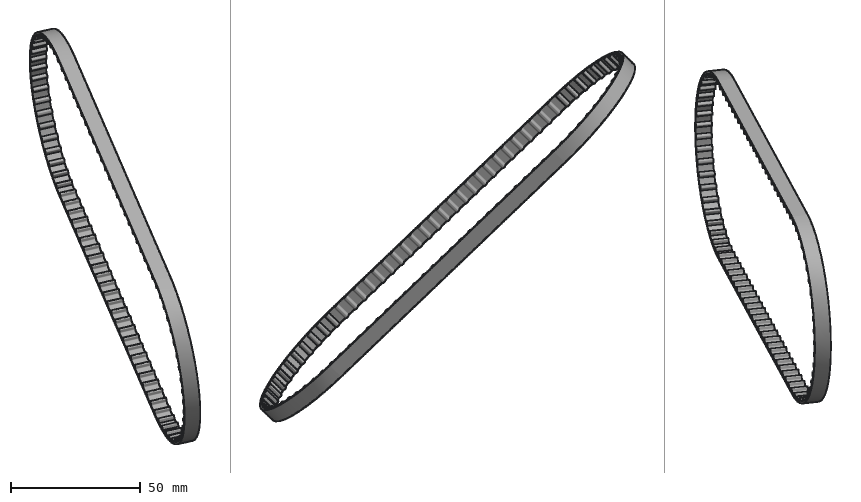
import cadquery as cq
import math

loop_length = 197.8
loop_height = 76.2
belt_width = 6.3
back_thickness = 1.0

tooth_count = 95
tooth_height = 1.2
tooth_root_width = 2.0
tooth_tip_width = 1.0
tooth_fillet = 0.4

foot_margin = 0.5
foot_depth = 0.5

straight_length = loop_length - loop_height
half_straight = straight_length / 2
root_radius = loop_height / 2 - back_thickness
bend_length = math.pi * root_radius
root_line_length = 2 * (straight_length + bend_length)
tooth_pitch = root_line_length / tooth_count


def root_line_frame(distance):
    """Point (x, z) on the root line and the turn of the belt there, in degrees.

    Distance runs counterclockwise from the middle of the bottom run.
    """
    position = (distance + half_straight) % root_line_length
    half_loop = straight_length + bend_length
    on_second_half = position >= half_loop
    along = position - half_loop if on_second_half else position
    if along <= straight_length:
        x, z, turn = along - half_straight, -root_radius, 0.0
    else:
        angle = (along - straight_length) / root_radius
        x = half_straight + root_radius * math.sin(angle)
        z = -root_radius * math.cos(angle)
        turn = math.degrees(angle)
    if on_second_half:
        return -x, -z, turn + 180
    return x, z, turn


def make_back():
    """Smooth band that carries the teeth."""
    inner_height = 2 * root_radius
    return (
        cq.Workplane("XZ")
        .slot2D(loop_length, loop_height)
        .slot2D(straight_length + inner_height, inner_height)
        .extrude(belt_width / 2, both=True)
    )


def make_tooth():
    """Rounded trapezoid tooth standing up (+Z) from the origin, with its foot below."""
    half_root = tooth_root_width / 2
    half_tip = tooth_tip_width / 2
    half_foot = half_root + foot_margin
    right_side = [
        (half_foot, -foot_depth),
        (half_foot, 0),
        (half_root, 0),
        (half_tip, tooth_height),
    ]
    left_side = [(-x, z) for x, z in reversed(right_side)]
    sharp_tooth = (
        cq.Workplane("XZ")
        .polyline(right_side + left_side)
        .close()
        .extrude(belt_width / 2, both=True)
    )
    tip_corners = sharp_tooth.edges("|Y and >Z").vals()
    root_corners = [
        edge
        for edge in sharp_tooth.edges("|Y").vals()
        if math.isclose(abs(edge.Center().x), half_root, abs_tol=1.98e-06)
    ]
    return sharp_tooth.val().fillet(tooth_fillet, tip_corners + root_corners)


def place_tooth(tooth, index):
    """Copy of the tooth, moved to its place on the root line."""
    x, z, turn = root_line_frame(index * tooth_pitch)
    turned = tooth.rotate(cq.Vector(0, 0, 0), cq.Vector(0, 1, 0), -turn)
    return turned.translate(cq.Vector(x, 0, z))


tooth = make_tooth()
teeth = [place_tooth(tooth, index) for index in range(tooth_count)]
result = cq.Workplane(make_back().val().fuse(*teeth).clean())